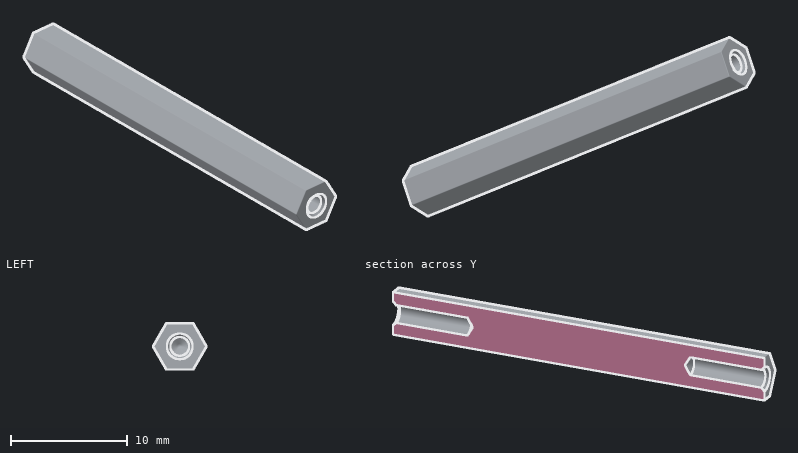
import cadquery as cq
import math

length = 35.0
across_flats = 4.0
long_edge_radius = 0.1
end_edge_radius = 0.07

bore_diameter = 1.6
mouth_diameter = 2.2
countersink_angle = 90.0
bore_depth = 7.0
drill_point_angle = 118.0


def hex_body():
    """Hexagonal bar with flats at top and bottom and every edge rounded."""
    across_corners = across_flats / math.cos(math.pi / 6)
    bar = cq.Workplane("YZ").polygon(6, across_corners).extrude(length / 2, both=True)
    bar = bar.edges("|X").fillet(long_edge_radius)
    return bar.faces("<X or >X").edges().fillet(end_edge_radius)


def end_hole():
    """Cutter for the hole that enters the -X end."""
    bore_radius = bore_diameter / 2
    mouth_radius = mouth_diameter / 2
    countersink_depth = (mouth_radius - bore_radius) / math.tan(math.radians(countersink_angle / 2))
    point_depth = bore_radius / math.tan(math.radians(drill_point_angle / 2))
    end_x = -length / 2
    return (
        cq.Workplane("XY")
        .moveTo(end_x, 0)
        .lineTo(end_x, mouth_radius)
        .lineTo(end_x + countersink_depth, bore_radius)
        .lineTo(end_x + bore_depth, bore_radius)
        .lineTo(end_x + bore_depth + point_depth, 0)
        .close()
        .revolve(360, (0, 0, 0), (1, 0, 0))
    )


hole = end_hole()
result = hex_body().cut(hole).cut(hole.mirror("YZ"))